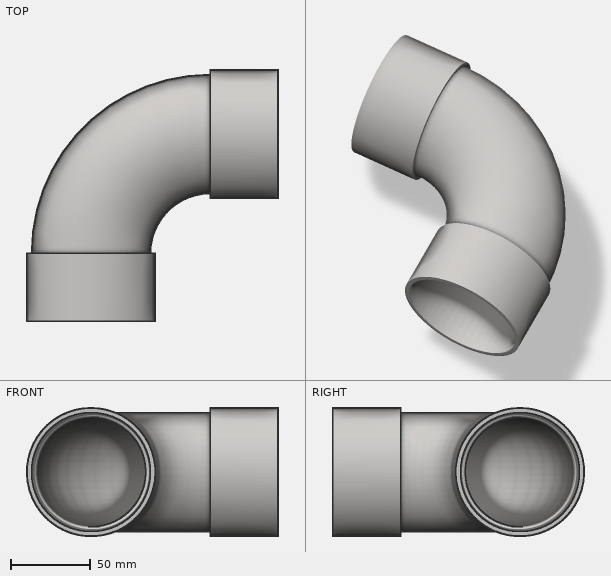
import cadquery as cq
import math

pipe_diameter = 75.0
wall = 3.0
bend_radius = 75.0
bend_angle = 90.0
socket_length = 43.0

socket_diameter = pipe_diameter + 2 * wall
bore_diameter = pipe_diameter - 2 * wall
lip_radius = wall

y_bend_end = (0, -bend_radius, 0)
x_bend_end = (bend_radius, 0, 0)
toward_y_mouth = (0, -1, 0)
toward_x_mouth = (1, 0, 0)

full_turn = 360.0
socket_axis = ((0, 0), (0, 1))


def bend(diameter):
    """Solid quarter torus between the two bend ends."""
    plane = cq.Plane(y_bend_end, xDir=(1, 0, 0), normal=toward_y_mouth)
    turning_axis = ((bend_radius, 0), (bend_radius, -1))
    return cq.Workplane(plane).circle(diameter / 2).revolve(bend_angle, *turning_axis)


def socket_plane(root, direction):
    """Half-section plane: x is the radius (along Z), y runs along the socket axis to the mouth."""
    normal = cq.Vector(0, 0, 1).cross(cq.Vector(*direction))
    return cq.Plane(root, xDir=(0, 0, 1), normal=normal)


def socket_body(root, direction):
    """Solid outside of a socket."""
    plane = socket_plane(root, direction)
    section = cq.Workplane(plane).rect(socket_diameter / 2, socket_length, centered=False)
    return section.revolve(full_turn, *socket_axis)


def socket_bore(root, direction):
    """Space inside a socket, flaring from the bend bore over a convex rounded stop."""
    bore_radius = bore_diameter / 2
    pipe_radius = pipe_diameter / 2
    lip_middle = lip_radius * math.sqrt(0.5)
    section = (
        cq.Workplane(socket_plane(root, direction))
        .lineTo(bore_radius, 0)
        .threePointArc((pipe_radius - lip_middle, lip_middle), (pipe_radius, lip_radius))
        .lineTo(pipe_radius, socket_length)
        .lineTo(0, socket_length)
        .close()
    )
    return section.revolve(full_turn, *socket_axis)


body = bend(pipe_diameter)
passage = bend(bore_diameter)

for root, direction in ((y_bend_end, toward_y_mouth), (x_bend_end, toward_x_mouth)):
    body = body.union(socket_body(root, direction))
    passage = passage.union(socket_bore(root, direction))

result = body.cut(passage)